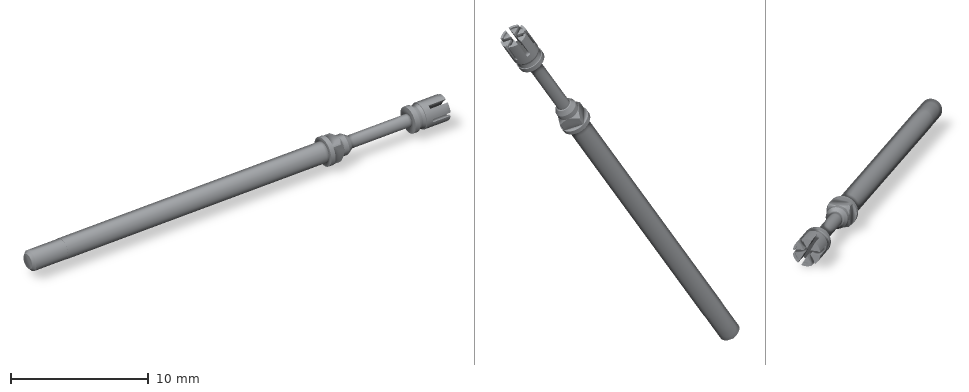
import cadquery as cq

total_length = 35.8
recess_depth = 0.15
slot_depth = 1.5
head_end = 2.05
waist = 2.3
collar_start = 2.6
collar_end = 3.0
cone_start = 8.25
cone_end = 8.6
square_start = 9.02
flange_start = 10.0
flange_end = 10.35
plug_start = 32.85

head_diameter = 2.08
groove_diameter = 1.95
waist_diameter = 1.8
rod_diameter = 1.0
cone_tip_diameter = 1.2
barrel_diameter = 1.65
plug_diameter = 1.6
flange_diameter = 2.3
recess_diameter = 1.72

square_side = 1.65
square_corner_diameter = 2.22
tip_chamfer = 0.2
slot_count = 6
slot_width = 0.3

crown_y = total_length / 2


def cylinder(start, end, diameter):
    """Round section between two distances from the crown end."""
    plane = cq.Workplane("XZ", origin=(0, crown_y - start, 0))
    return plane.circle(diameter / 2).extrude(end - start)


def cone(start, end, start_diameter, end_diameter):
    """Tapered round section between two distances from the crown end."""
    profile = [
        (0, crown_y - start),
        (start_diameter / 2, crown_y - start),
        (end_diameter / 2, crown_y - end),
        (0, crown_y - end),
    ]
    return cq.Workplane("XY").polyline(profile).close().revolve(360, (0, 0, 0), (0, 1, 0))


def crown_head():
    """Dished head split by radial slots, with a V-shaped waist and a collar behind it."""
    head = cylinder(0, head_end, head_diameter)
    head = head.union(cone(head_end, waist, groove_diameter, waist_diameter))
    head = head.union(cone(waist, collar_start, waist_diameter, groove_diameter))
    head = head.union(cylinder(collar_start, collar_end, head_diameter))
    head = head.cut(cylinder(0, recess_depth, recess_diameter))
    slot = cq.Workplane("XY").box(head_diameter, slot_depth, slot_width, centered=(False, False, True))
    slot = slot.translate((0, crown_y - slot_depth, 0))
    for index in range(slot_count):
        head = head.cut(slot.rotate((0, 0, 0), (0, 1, 0), index * 360 / slot_count))
    return head


def square_section():
    """Square press-fit section with rounded corners and a turned lead-in."""
    plane = cq.Workplane("XZ", origin=(0, crown_y - square_start, 0))
    square = plane.rect(square_side, square_side).extrude(flange_start - square_start)
    lead_length = (square_corner_diameter - square_side) / 2
    lead_end = square_start + lead_length
    envelope = cone(square_start, lead_end, square_side, square_corner_diameter)
    envelope = envelope.union(cylinder(lead_end, flange_start, square_corner_diameter))
    return square.intersect(envelope)


def barrel():
    """Tapered nose, stop flange and long tube ending in a slightly thinner chamfered plug."""
    body = cone(cone_start, cone_end, cone_tip_diameter, barrel_diameter)
    body = body.union(cylinder(cone_end, square_start, barrel_diameter))
    body = body.union(square_section())
    body = body.union(cylinder(flange_start, flange_end, flange_diameter))
    body = body.union(cylinder(flange_end, plug_start, barrel_diameter))
    plug = cylinder(plug_start, total_length, plug_diameter).faces("<Y").chamfer(tip_chamfer)
    return body.union(plug)


rod = cylinder(collar_end, cone_start, rod_diameter)
result = crown_head().union(rod).union(barrel())